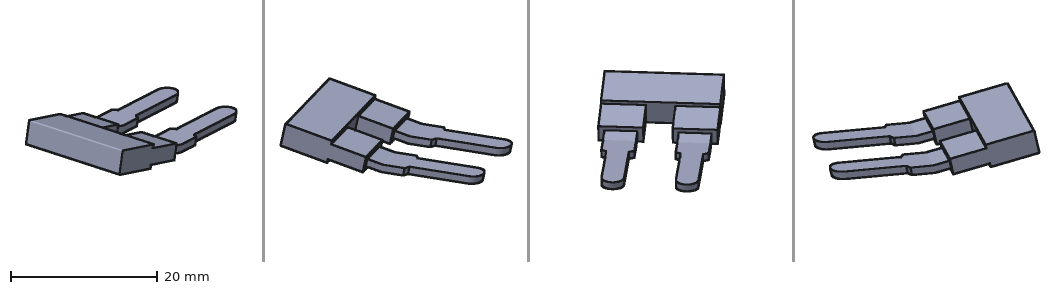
import cadquery as cq
import math

tilt_angle = 12.0

pin_pitch = 10.2
sleeve_width = 6.15
head_width = pin_pitch + sleeve_width
head_length = 7.0
head_height = 3.5
edge_radius = 0.2
sleeve_step = 0.55
sleeve_length = 5.25
sleeve_height = head_height - 2 * sleeve_step
sleeve_end = head_length + sleeve_length

pin_thickness = 1.17
pin_base = 1.12
pin_top = pin_base + pin_thickness
shank_width = 4.53
blade_width = 3.1
bend_distance = 2.32
shank_length = 5.47
shoulder_length = 0.43
blade_length = 10.08
bend_y = sleeve_end + bend_distance
shank_end = sleeve_end + shank_length
blade_start = shank_end + shoulder_length
tip_y = blade_start + blade_length


def make_head():
    head = cq.Workplane("XY").box(
        head_width, head_length, head_height, centered=(True, False, False)
    )
    return head.faces("<Y").edges("|X").fillet(edge_radius)


def make_sleeve(center_x):
    return (
        cq.Workplane("XY")
        .box(sleeve_width, sleeve_length, sleeve_height, centered=(True, False, False))
        .translate((center_x, head_length, sleeve_step))
    )


def make_pin(center_x):
    shank_half = shank_width / 2
    blade_half = blade_width / 2
    arc_y = tip_y - blade_half
    plan = (
        cq.Workplane("XY")
        .moveTo(-shank_half, sleeve_end)
        .lineTo(shank_half, sleeve_end)
        .lineTo(shank_half, shank_end)
        .lineTo(blade_half, blade_start)
        .lineTo(blade_half, arc_y)
        .threePointArc((0, tip_y), (-blade_half, arc_y))
        .lineTo(-blade_half, blade_start)
        .lineTo(-shank_half, shank_end)
        .close()
    )
    rise = (tip_y - bend_y) * math.tan(math.radians(tilt_angle))
    side = (
        cq.Workplane("YZ")
        .polyline([
            (sleeve_end, pin_base),
            (bend_y, pin_base),
            (tip_y, pin_base + rise),
            (tip_y, pin_top + rise),
            (bend_y, pin_top),
            (sleeve_end, pin_top),
        ])
        .close()
        .extrude(shank_width / 2, both=True)
    )
    pin = plan.extrude(pin_top + rise).intersect(side)
    return pin.translate((center_x, 0, 0))


body = make_head()
for pin_x in (-pin_pitch / 2, pin_pitch / 2):
    body = body.union(make_sleeve(pin_x)).union(make_pin(pin_x))

result = body.rotate((0, 0, 0), (1, 0, 0), -tilt_angle)